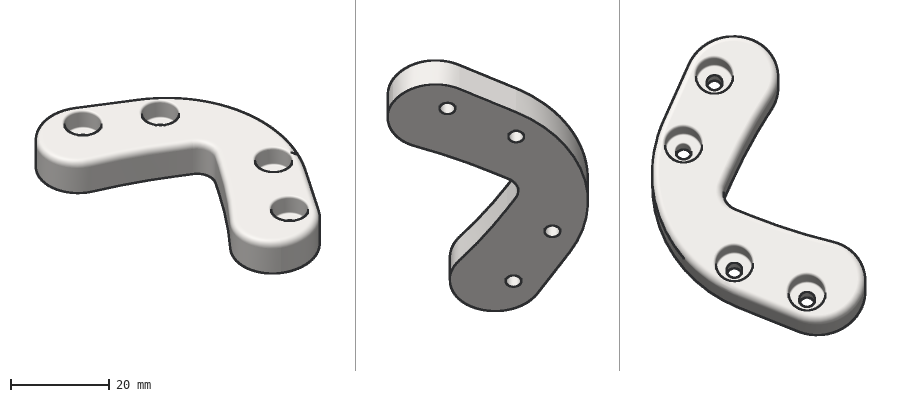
import cadquery as cq
import math

thickness = 8.0
half_span = 32.6
top_round = 1.5

bend_radius = 28.8
end_radius = 9.9
tip_radius = 8.6
crotch_radius = 3.8
crotch_centre_y = 11.3
straight_length = 3.45

hole_diameter = 3.2
bore_diameter = 7.5
bore_lip = 0.5
bore_depth = 4.4
bore_floor_round = 0.3
hole_mouth_round = 0.25
hole_spacing = 16.05
first_hole_x = 13.75
first_hole_y = 18.6

DIAGONAL = math.sqrt(0.5)
ARM_NORMAL = math.pi / 4
BEND_MIDDLE = (math.pi / 2 + ARM_NORMAL) / 2


def along_arm(point, distance):
    """Point shifted along the right arm, down and to the right."""
    return (point[0] + distance * DIAGONAL, point[1] - distance * DIAGONAL)


def across_arm(point, distance):
    """Point shifted square to the right arm, up and to the right."""
    return (point[0] + distance * DIAGONAL, point[1] + distance * DIAGONAL)


def on_circle(centre, radius, angle):
    """Point of a circle at an angle in radians from +X."""
    return (centre[0] + radius * math.cos(angle), centre[1] + radius * math.sin(angle))


def half_outline():
    """Right half of the plate outline, closed along the symmetry plane."""
    end_x = half_span - end_radius
    end_centre = (end_x, (bend_radius - end_radius) / DIAGONAL - end_x)
    tip_centre = along_arm(end_centre, end_radius - tip_radius)
    crotch_centre = (0, crotch_centre_y)

    straight_start = across_arm(crotch_centre, crotch_radius)
    straight_end = along_arm(straight_start, straight_length)
    offset_x = tip_centre[0] - straight_end[0]
    offset_y = tip_centre[1] - straight_end[1]
    run = (offset_x - offset_y) * DIAGONAL
    rise = (offset_x + offset_y) * DIAGONAL
    flank_radius = (run**2 + rise**2 - tip_radius**2) / (2 * (tip_radius - rise))
    flank_centre = across_arm(straight_end, -flank_radius)
    flank_end_angle = math.atan2(tip_centre[1] - flank_centre[1], tip_centre[0] - flank_centre[0])
    flank_end = on_circle(flank_centre, flank_radius, flank_end_angle)
    flank_middle = on_circle(flank_centre, flank_radius, (ARM_NORMAL + flank_end_angle) / 2)

    return (
        cq.Workplane("XY")
        .moveTo(0, bend_radius)
        .threePointArc(
            on_circle((0, 0), bend_radius, BEND_MIDDLE),
            across_arm((0, 0), bend_radius),
        )
        .lineTo(*across_arm(end_centre, end_radius))
        .threePointArc((half_span, end_centre[1]), along_arm(end_centre, end_radius))
        .threePointArc((tip_centre[0], tip_centre[1] - tip_radius), flank_end)
        .threePointArc(flank_middle, straight_end)
        .lineTo(*straight_start)
        .threePointArc(
            on_circle(crotch_centre, crotch_radius, BEND_MIDDLE),
            (0, crotch_centre_y + crotch_radius),
        )
        .close()
    )


def plate():
    """Boomerang plate with its whole top edge rounded."""
    right_half = half_outline().extrude(thickness)
    left_half = right_half.mirror("YZ")
    return right_half.union(left_half, clean=True).faces(">Z").edges().fillet(top_round)


def screw_cutter(x, y):
    """Through hole with a counterbore that has a rounded floor corner and a flared mouth."""
    hole_radius = hole_diameter / 2
    bore_radius = bore_diameter / 2
    floor_z = thickness - bore_depth
    floor_middle = bore_floor_round * (1 - DIAGONAL)
    lip_middle = bore_lip * (1 - DIAGONAL)
    profile = (
        cq.Workplane("XZ")
        .lineTo(hole_radius, 0)
        .lineTo(hole_radius, floor_z)
        .lineTo(bore_radius - bore_floor_round, floor_z)
        .threePointArc(
            (bore_radius - floor_middle, floor_z + floor_middle),
            (bore_radius, floor_z + bore_floor_round),
        )
        .lineTo(bore_radius, thickness - bore_lip)
        .threePointArc(
            (bore_radius + lip_middle, thickness - lip_middle),
            (bore_radius + bore_lip, thickness),
        )
        .lineTo(0, thickness)
        .close()
    )
    return profile.revolve(360, (0, 0, 0), (0, 1, 0)).translate((x, y, 0))


def hole_mouth_cutter(x, y):
    """Rounded flare that eases the top edge of a through hole at the counterbore floor."""
    hole_radius = hole_diameter / 2
    floor_z = thickness - bore_depth
    mouth_middle = hole_mouth_round * (1 - DIAGONAL)
    profile = (
        cq.Workplane("XZ")
        .moveTo(0, floor_z - hole_mouth_round)
        .lineTo(hole_radius, floor_z - hole_mouth_round)
        .threePointArc(
            (hole_radius + mouth_middle, floor_z - mouth_middle),
            (hole_radius + hole_mouth_round, floor_z),
        )
        .lineTo(0, floor_z)
        .close()
    )
    return profile.revolve(360, (0, 0, 0), (0, 1, 0)).translate((x, y, 0))


result = plate()
first_hole = (first_hole_x, first_hole_y)
for hole_x, hole_y in (first_hole, along_arm(first_hole, hole_spacing)):
    for side in (-1, 1):
        result = result.cut(screw_cutter(side * hole_x, hole_y))

result = result.cut(hole_mouth_cutter(*first_hole))